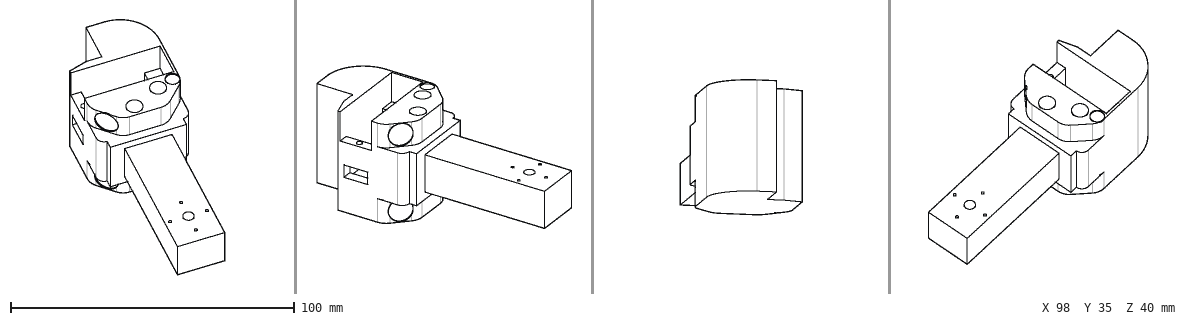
import cadquery as cq
import math

HEAD_LENGTH = 45.0
WIDTH = 35.0
HEIGHT = 40.0
NOSE_RADIUS = 15.0
STEP_X = 15.0
STEP_Y = 13.0
HEEL_X = 17.0
HEEL_Y = 7.0

LUG_HEIGHT = 9.5
BAND_HEIGHT = HEIGHT - 2 * LUG_HEIGHT
LUG_CHAMFER = 9.0
LUG_BLEND_RADIUS = 6.0
BAND_FILLET = 3.0

COLLAR_LENGTH = 3.0
COLLAR_INSET = BAND_FILLET
ARM_LENGTH = 50.0
ARM_WIDTH = 18.0
ARM_HEIGHT = 15.0
ARM_X = HEAD_LENGTH + COLLAR_LENGTH
ARM_END_X = ARM_X + ARM_LENGTH

ARM_HOLE_DIAMETER = 4.0
ARM_HOLE_FROM_END = 12.0
PILOT_DIAMETER = 1.0
PILOT_DEPTH = 5.0
PILOT_PITCH_RADIUS = 7.0

POCKET_X = 18.0
POCKET_LENGTH = 13.0
POCKET_DEPTH = 11.8
POCKET_WALL = 1.0
WELL_Y = 4.0
WELL_WIDTH = 24.0
WELL_FLOOR_Z = 11.0
LEDGE_HOLE_DIAMETER = 2.2
LEDGE_HOLE_DEPTH = 5.0
LEDGE_HOLE_Y = (2.4, 31.4)

WINDOW_LENGTH = 10.0
WINDOW_HEIGHT = 5.0
WINDOW_Z = 14.0

DIMPLE_RADIUS = 3.0
DIMPLE_CENTERS = ((36.0, 26.0), (41.0, 15.0))
SEAT_DEPTH = 0.5
TOP_SEAT_DIAMETER = 5.2
TOP_SEAT_CENTER = (34.0, 32.3)
SIDE_SEAT_DIAMETER = 9.0

CENTER_Y = WIDTH / 2
CENTER_Z = HEIGHT / 2
POCKET_CENTER_X = POCKET_X + POCKET_LENGTH / 2


def box(x, y, z, length, width, height):
    """Box from its lowest corner and its three sizes."""
    return cq.Workplane("XY").box(length, width, height, centered=False).translate((x, y, z))


def vertical_hole(x, y, top_z, diameter, depth):
    """Cylinder reaching down from top_z."""
    return cq.Workplane("XY", origin=(x, y, top_z)).circle(diameter / 2).extrude(-depth)


def head_block():
    """Full-height block with a rounded nose, a stepped front and a slanted heel."""
    arc_offset = NOSE_RADIUS * (1 - math.sqrt(0.5))
    return (
        cq.Workplane("XY")
        .moveTo(0, STEP_Y)
        .lineTo(STEP_X, STEP_Y)
        .lineTo(STEP_X, HEEL_Y)
        .lineTo(HEEL_X, 0)
        .lineTo(HEAD_LENGTH, 0)
        .lineTo(HEAD_LENGTH, WIDTH)
        .lineTo(NOSE_RADIUS, WIDTH)
        .threePointArc((arc_offset, WIDTH - arc_offset), (0, WIDTH - NOSE_RADIUS))
        .close()
        .extrude(HEIGHT)
    )


def lug_envelope(z):
    """Block with the blended rear corners, used to trim one lug."""
    return (
        box(0, 0, z, HEAD_LENGTH, WIDTH, LUG_HEIGHT)
        .edges("|Z and >X")
        .chamfer(LUG_CHAMFER)
        .edges("|Z and (not <X)")
        .fillet(LUG_BLEND_RADIUS)
    )


def trimmed_head():
    band = box(0, 0, LUG_HEIGHT, HEAD_LENGTH, WIDTH, BAND_HEIGHT)
    band = band.edges("|Z and >X").fillet(BAND_FILLET)
    envelope = band.union(lug_envelope(0)).union(lug_envelope(HEIGHT - LUG_HEIGHT))
    return head_block().intersect(envelope)


def collar_and_arm():
    collar_width = WIDTH - 2 * COLLAR_INSET
    collar = box(HEAD_LENGTH, COLLAR_INSET, LUG_HEIGHT, COLLAR_LENGTH, collar_width, BAND_HEIGHT)
    arm = box(
        ARM_X,
        CENTER_Y - ARM_WIDTH / 2,
        CENTER_Z - ARM_HEIGHT / 2,
        ARM_LENGTH,
        ARM_WIDTH,
        ARM_HEIGHT,
    )
    return collar.union(arm)


def arm_holes():
    hole_x = ARM_END_X - ARM_HOLE_FROM_END
    arm_top = CENTER_Z + ARM_HEIGHT / 2
    holes = vertical_hole(hole_x, CENTER_Y, arm_top, ARM_HOLE_DIAMETER, ARM_HEIGHT)
    for dx, dy in ((1, 0), (0, 1), (-1, 0), (0, -1)):
        x = hole_x + dx * PILOT_PITCH_RADIUS
        y = CENTER_Y + dy * PILOT_PITCH_RADIUS
        holes = holes.union(vertical_hole(x, y, arm_top, PILOT_DIAMETER, PILOT_DEPTH))
    return holes


def pocket():
    """Pocket open to the top and front, with its well, ledge holes and window."""
    ledge_z = HEIGHT - POCKET_DEPTH
    cut = box(POCKET_X, 0, ledge_z, POCKET_LENGTH, WIDTH - POCKET_WALL, POCKET_DEPTH)
    cut = cut.union(box(POCKET_X, WELL_Y, WELL_FLOOR_Z, POCKET_LENGTH, WELL_WIDTH, HEIGHT - WELL_FLOOR_Z))
    for y in LEDGE_HOLE_Y:
        cut = cut.union(vertical_hole(POCKET_CENTER_X, y, ledge_z, LEDGE_HOLE_DIAMETER, LEDGE_HOLE_DEPTH))
    window_x = POCKET_CENTER_X - WINDOW_LENGTH / 2
    window = box(window_x, 0, WINDOW_Z, WINDOW_LENGTH, WELL_Y, WINDOW_HEIGHT)
    return cut.union(window)


def dimples():
    points = [(x, y, HEIGHT) for x, y in DIMPLE_CENTERS]
    return cq.Workplane("XY").pushPoints(points).sphere(DIMPLE_RADIUS)


def side_seat(z):
    """Shallow disc sunk into the front chamfer of a lug."""
    chamfer_mid = (HEAD_LENGTH - LUG_CHAMFER / 2, LUG_CHAMFER / 2, z)
    plane = cq.Plane(origin=chamfer_mid, xDir=(0, 0, 1), normal=(1, -1, 0))
    return cq.Workplane(plane).circle(SIDE_SEAT_DIAMETER / 2).extrude(SEAT_DEPTH, both=True)


result = trimmed_head().union(collar_and_arm())
result = result.cut(arm_holes()).cut(pocket()).cut(dimples())
result = result.cut(vertical_hole(*TOP_SEAT_CENTER, HEIGHT, TOP_SEAT_DIAMETER, SEAT_DEPTH))
for seat_z in (LUG_HEIGHT / 2, HEIGHT - LUG_HEIGHT / 2):
    result = result.cut(side_seat(seat_z))